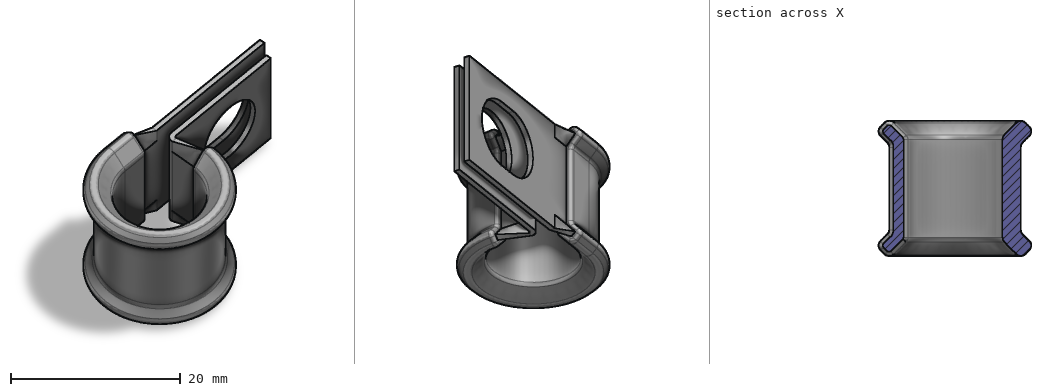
import cadquery as cq
import math


metal = 0.73
tab_half_height = 7.14

rubber = metal
wall = metal + 2 * rubber
bore_radius = 5.575
body_radius = bore_radius + wall
half_height = 7.97
flare_reach = 1.25
rim_round = rubber
end_round = 0.5
loop_angle = 270
leg_length = 3.79

metal_inner = bore_radius + rubber
metal_outer = metal_inner + metal

long_tab_end = 25.0
short_tab_end = 23.75
tab_gap = 2 * metal
short_tab_outer = metal_inner - tab_gap
bend_radius = 1.0
bend_end = short_tab_outer - bend_radius
flare_start = 6.3
fold_height = 5.3

hole_y = 16.65
hole_diameter = 8.7
slot_length = 11.17

diagonal = math.sqrt(0.5)
outer_tip_r = body_radius + flare_reach - rim_round
inner_tip_r = outer_tip_r - metal * diagonal
inner_tip_z = half_height - rim_round
outer_tip_z = inner_tip_z - metal * diagonal

to_corner = 2 * rim_round * diagonal
rim_outer = (outer_tip_r + to_corner, outer_tip_z)
rim_inner = (inner_tip_r, inner_tip_z + to_corner)
body_bend = (body_radius, rim_outer[1] - (rim_outer[0] - body_radius))
bore_bend = (bore_radius, rim_inner[1] - (rim_inner[0] - bore_radius))


def cushion_section():
    """Sharp-cornered wall outline with flared rims, in the XZ plane on the -X side."""
    upper = [bore_bend, rim_inner, rim_outer, body_bend]
    lower = [(r, -z) for r, z in reversed(upper)]
    outline = [(-r, z) for r, z in upper + lower]
    return cq.Workplane("XZ").polyline(outline).close()


def end_rounded(body, face_centre):
    face = cq.selectors.NearestToPointSelector(face_centre)
    return body.faces(face).edges().fillet(end_round)


def cushion():
    """Three quarters of a turn plus a straight leg, with rounded end faces."""
    leg = cushion_section().extrude(-leg_length).edges("|Y").fillet(rim_round)
    loop = cushion_section().revolve(loop_angle, (0, 0), (0, 1))
    loop = loop.edges("%CIRCLE").fillet(rim_round)
    mid_wall = (bore_radius + body_radius) / 2
    loop = end_rounded(loop, (0, mid_wall, 0))
    leg = end_rounded(leg, (-mid_wall, leg_length, 0))
    return loop.union(leg)


def block(x_range, y_range, half_z):
    """Box between two X values and two Y values, centred on mid-height."""
    width = x_range[1] - x_range[0]
    depth = y_range[1] - y_range[0]
    box = cq.Workplane("XY").box(width, depth, 2 * half_z, centered=(False, False, True))
    return box.translate((x_range[0], y_range[0], 0))


def flaring_strip(flat_y, flared_y):
    """Strip at X > 0 whose two edges turn outward from flat_y to flared_y."""
    flat = [
        (metal_outer, fold_height),
        (metal_outer, tab_half_height),
        (metal_inner, tab_half_height),
        (metal_inner, fold_height),
    ]
    flared = [
        (metal_outer, fold_height),
        (outer_tip_r, outer_tip_z),
        (inner_tip_r, inner_tip_z),
        (metal_inner, fold_height),
    ]
    sections = []
    for outline, y in ((flat, flat_y), (flared, flared_y)):
        corners = [cq.Vector(x, y, z) for x, z in outline]
        sections.append(cq.Wire.makePolygon(corners, close=True))
    edge = cq.Workplane(cq.Solid.makeLoft(sections, True))
    middle = block((metal_inner, metal_outer), (flared_y, flat_y), fold_height)
    return middle.union(edge).union(edge.mirror("XY"))


def long_tab():
    """Flat tab continuing the straight leg, with a slot along Y."""
    tab = block((-metal_outer, -metal_inner), (flare_start, long_tab_end), tab_half_height)
    slot = (
        cq.Workplane("YZ", origin=(-metal_outer, hole_y, 0))
        .slot2D(slot_length, hole_diameter)
        .extrude(metal)
    )
    neck = flaring_strip(flare_start, leg_length).mirror("YZ")
    return tab.cut(slot).union(neck)


def short_tab():
    """Tab bent square from the free end of the loop, with a round hole."""
    outer_face = -short_tab_outer
    inner_face = outer_face + metal
    bend_start_y = metal_inner + bend_radius
    tab = (
        cq.Workplane("XY", origin=(0, 0, -tab_half_height))
        .moveTo(inner_face, short_tab_end)
        .lineTo(outer_face, short_tab_end)
        .lineTo(outer_face, bend_start_y)
        .tangentArcPoint((-bend_end, metal_inner), relative=False)
        .lineTo(-bend_end, metal_outer)
        .radiusArc((inner_face, bend_start_y), bend_radius - metal)
        .close()
        .extrude(2 * tab_half_height)
    )
    hole = (
        cq.Workplane("YZ", origin=(-short_tab_outer, hole_y, 0))
        .circle(hole_diameter / 2)
        .extrude(metal)
    )
    neck = flaring_strip(bend_end, 0).rotate((0, 0, 0), (0, 0, 1), 90)
    return tab.cut(hole).union(neck)


result = cushion().union(long_tab()).union(short_tab())